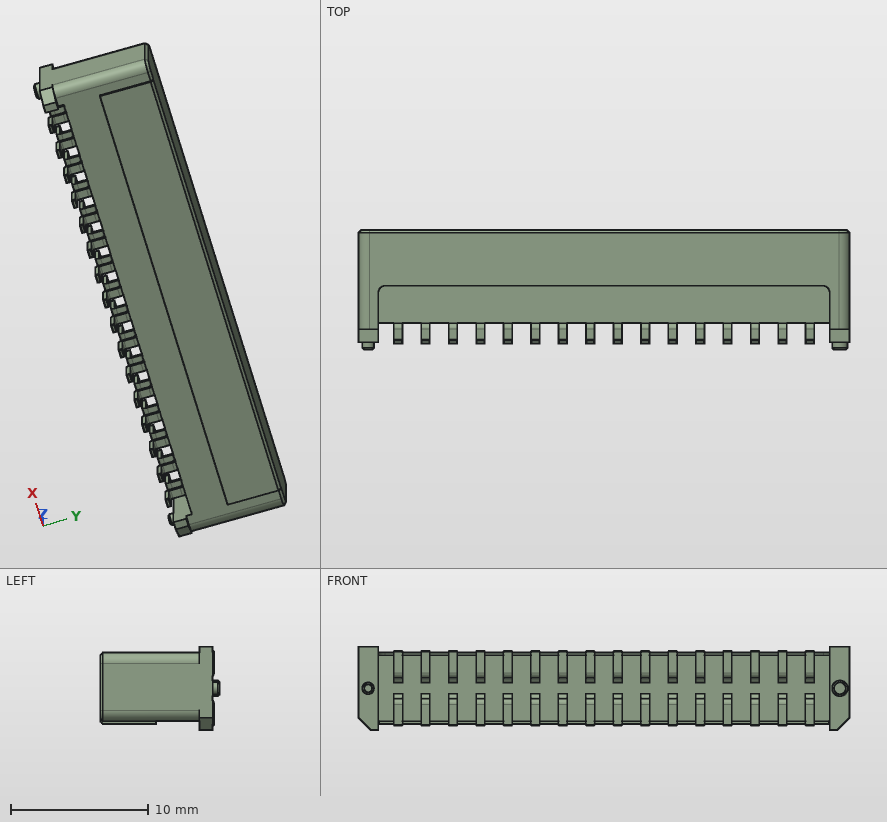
import cadquery as cq
import math


length = 35.8
depth = 8.75
height = 6.1

body_top = 2.6
body_bottom = -2.4
front_face_y = -6.8
edge_radius = 0.8
rear_chamfer = 0.2

lug_width = 1.45
lug_front_y = -8.2
lug_thickness = 0.95
lug_chamfer = 0.9
inner_half = length / 2 - lug_width

step_y = -4.08
recess_depth = 0.2
recess_radius = 0.45
pad_thickness = 0.2
pad_side_gap = 0.05

peg_inset = 0.7
peg_x = length / 2 - peg_inset
small_peg_diameter = 0.85
large_peg_diameter = 1.15
peg_chamfer = 0.15

contact_count = 16
row_span = 30.0
pitch = row_span / (contact_count - 1)
contact_width = 0.65
contact_thickness = 0.3
contact_front_y = -8.3
contact_exit_z = 0.4
contact_end_z = 2.72
outer_bend_radius = 0.4
inner_bend_radius = outer_bend_radius - contact_thickness
step_height = 0.35
shelf_start_y = -7.2
tip_chamfer = 0.055
root_depth = 0.18


def block(x_min, x_max, y_min, y_max, z_min, z_max):
    """Box given by its limits along each axis."""
    size = (x_max - x_min, y_max - y_min, z_max - z_min)
    return cq.Workplane("XY").box(*size, centered=False).translate((x_min, y_min, z_min))


def make_housing():
    """Long block with rounded long edges, a pad underneath and a recess on top."""
    half = length / 2
    body = block(-half, half, lug_front_y, 0, body_bottom, body_top)
    body = body.edges("|Y").fillet(edge_radius)
    body = body.faces(">Y").chamfer(rear_chamfer)

    half_pad = inner_half - pad_side_gap
    pad = block(-half_pad, half_pad, step_y, 0, body_bottom - pad_thickness, body_bottom + edge_radius)
    pad = pad.faces(">Y").edges("<Z").chamfer(rear_chamfer)
    body = body.union(pad)

    recess = block(-inner_half, inner_half, lug_front_y, step_y, body_top - recess_depth, body_top)
    recess = recess.edges("|Z and >Y").fillet(recess_radius)
    gap = block(-inner_half, inner_half, lug_front_y, front_face_y, body_bottom, body_top)
    return body.cut(recess).cut(gap)


def make_lug(side):
    """Upright end plate with its lower outer corner cut off; side is -1 or +1."""
    outer = side * length / 2
    inner = side * inner_half
    bottom = -height / 2
    return (
        cq.Workplane("XZ", origin=(0, lug_front_y + lug_thickness, 0))
        .moveTo(inner, bottom)
        .lineTo(outer - side * lug_chamfer, bottom)
        .lineTo(outer, bottom + lug_chamfer)
        .lineTo(outer, height / 2)
        .lineTo(inner, height / 2)
        .close()
        .extrude(lug_thickness)
    )


def make_peg(x, diameter):
    """Round locating peg on the front of a lug, chamfered at its tip."""
    return (
        cq.Workplane("XZ", origin=(x, lug_front_y, 0))
        .circle(diameter / 2)
        .extrude(depth + lug_front_y)
        .faces("<Y")
        .chamfer(peg_chamfer)
    )


def make_lower_contact():
    """Bent strip: out of the housing, one step down, forward, then down to its tip."""
    exit_z = -contact_exit_z
    shelf_z = exit_z - step_height
    under_z = shelf_z - contact_thickness
    leg_rear_y = contact_front_y + contact_thickness

    centre_distance = outer_bend_radius + inner_bend_radius
    bend_angle = math.acos(1 - step_height / centre_distance)
    step_start_y = shelf_start_y + centre_distance * math.sin(bend_angle)
    across = math.sin(bend_angle)
    upright = math.cos(bend_angle)
    first_centre_z = exit_z - outer_bend_radius
    upper_joint = (
        step_start_y - outer_bend_radius * across,
        first_centre_z + outer_bend_radius * upright,
    )
    lower_joint = (
        step_start_y - inner_bend_radius * across,
        first_centre_z + inner_bend_radius * upright,
    )

    root_y = step_start_y + root_depth
    strip = (
        cq.Workplane("YZ", origin=(-contact_width / 2, 0, 0))
        .moveTo(root_y, exit_z)
        .lineTo(step_start_y, exit_z)
        .radiusArc(upper_joint, -outer_bend_radius)
        .radiusArc((shelf_start_y, shelf_z), inner_bend_radius)
        .lineTo(contact_front_y + outer_bend_radius, shelf_z)
        .radiusArc((contact_front_y, shelf_z - outer_bend_radius), -outer_bend_radius)
        .lineTo(contact_front_y, -contact_end_z)
        .lineTo(leg_rear_y, -contact_end_z)
        .lineTo(leg_rear_y, under_z - inner_bend_radius)
        .radiusArc((leg_rear_y + inner_bend_radius, under_z), inner_bend_radius)
        .lineTo(shelf_start_y, under_z)
        .radiusArc(lower_joint, -outer_bend_radius)
        .radiusArc((step_start_y, exit_z - contact_thickness), inner_bend_radius)
        .lineTo(root_y, exit_z - contact_thickness)
        .close()
        .extrude(contact_width)
    )
    return strip.faces("<Z").chamfer(tip_chamfer)


result = make_housing()
for side, peg_diameter in ((-1, small_peg_diameter), (1, large_peg_diameter)):
    result = result.union(make_lug(side))
    result = result.union(make_peg(side * peg_x, peg_diameter))

lower_contact = make_lower_contact()
upper_contact = lower_contact.mirror("XY")
for index in range(contact_count):
    x = index * pitch - row_span / 2
    result = result.union(lower_contact.translate((x, 0, 0)))
    result = result.union(upper_contact.translate((x, 0, 0)))